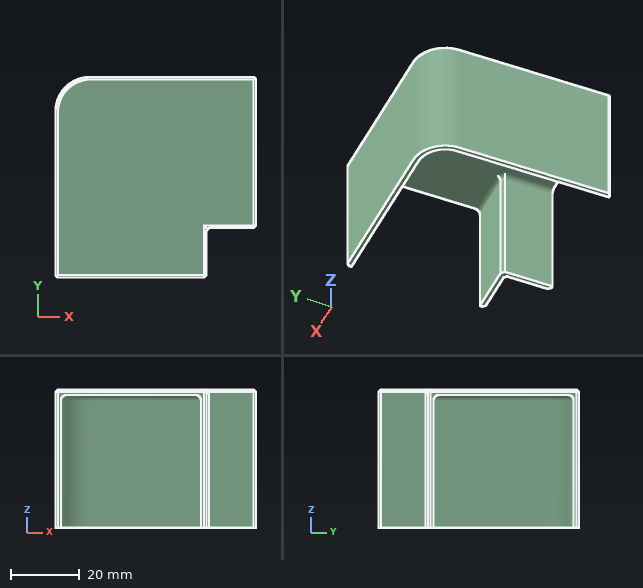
import cadquery as cq

overall_length = 58.64
overall_height = 40.4
channel_width = 44.12
wall = 1.6
edge_chamfer = 0.78
inner_corner_chamfer = 1.0
outer_bend_radius = 10.25
roof_fillet_radius = 1.65
mouth_overrun = 5.0

half_length = overall_length / 2
notch_x = channel_width - half_length
notch_y = half_length - channel_width
cavity_height = overall_height - wall


def vertical_edge_at(body, x, y):
    """Select the vertical edge of the body nearest to the point (x, y)."""
    mid_height = body.val().BoundingBox().zmax / 2
    nearest = cq.selectors.NearestToPointSelector((x, y, mid_height))
    return body.edges("|Z").edges(nearest)


def elbow_prism(inset, overrun, height):
    """L-shaped prism on Z = 0, inset from the side faces and overrunning the mouths."""
    left = -half_length + inset
    back = half_length - inset
    right = half_length + overrun
    front = -half_length - overrun
    prism = (
        cq.Workplane("XY")
        .moveTo(left, front)
        .lineTo(notch_x - inset, front)
        .lineTo(notch_x - inset, notch_y + inset)
        .lineTo(right, notch_y + inset)
        .lineTo(right, back)
        .lineTo(left, back)
        .close()
        .extrude(height)
    )
    return vertical_edge_at(prism, left, back).fillet(outer_bend_radius - inset)


def outer_body():
    """Solid elbow with a chamfered roof rim and chamfered vertical corners."""
    body = elbow_prism(0, 0, overall_height)
    body = body.faces(">Z").edges().chamfer(edge_chamfer)
    sharp_corners = (
        (-half_length, -half_length),
        (notch_x, -half_length),
        (notch_x, notch_y),
        (half_length, notch_y),
        (half_length, half_length),
    )
    for x, y in sharp_corners:
        body = vertical_edge_at(body, x, y).chamfer(edge_chamfer)
    return body


def cavity():
    """Open-bottomed passage through both legs, rounded where it meets the roof."""
    passage = elbow_prism(wall, mouth_overrun, cavity_height)
    passage = vertical_edge_at(passage, notch_x - wall, notch_y + wall).chamfer(inner_corner_chamfer)
    within_elbow = cq.selectors.BoxSelector(
        (-half_length, -half_length, 0),
        (half_length, half_length, overall_height),
    )
    return passage.faces(">Z").edges(within_elbow).fillet(roof_fillet_radius)


result = outer_body().cut(cavity())